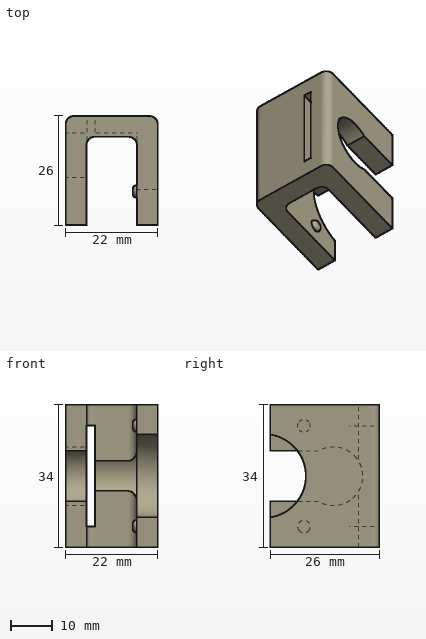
import cadquery as cq

width = 22.0
depth = 26.0
height = 34.0
wall = 5.0
corner_radius = 2.0

bore_radius = 7.0
bore_from_front = 15.0
entry_height = 12.0

recess_radius = 10.0
recess_center_ahead = 1.5

window_width = corner_radius
window_height = 24.0

bump_radius = 1.5
bump_height = 1.0
bump_rounding = 0.9
bump_from_front = 8.0
bump_spacing = 24.0

y_front = -depth / 2
left_outside = -width / 2
left_inside = left_outside + wall
right_inside = width / 2 - wall
inner_width = right_inside - left_inside
inner_depth = depth - wall


def box(x, y, z, x_size, y_size, z_size):
    """Box with its low X and low Y corner at (x, y), centered on z."""
    return (
        cq.Workplane("XY")
        .box(x_size, y_size, z_size, centered=(False, False, True))
        .translate((x, y, z))
    )


def x_cylinder(x, y, z, radius, length):
    """Cylinder running along +X from the given end center."""
    return cq.Workplane("YZ", origin=(x, y, z)).circle(radius).extrude(length)


def channel():
    """U-shaped body with rounded back corners inside and out."""
    outer = box(left_outside, y_front, 0, width, depth, height)
    inner = box(left_inside, y_front, 0, inner_width, inner_depth, height)
    outer = outer.edges("|Z and >Y").fillet(corner_radius)
    inner = inner.edges("|Z and >Y").fillet(corner_radius)
    return outer.cut(inner)


def keyhole():
    """Bore through the left wall that also grooves the back wall, with its open entry."""
    bore = x_cylinder(left_outside, y_front + bore_from_front, 0, bore_radius, wall + inner_width)
    entry = box(left_outside, y_front, 0, wall, bore_from_front, entry_height)
    return bore.union(entry)


def recess():
    """Circular bite out of the front of the right wall."""
    return x_cylinder(right_inside, y_front - recess_center_ahead, 0, recess_radius, wall)


def back_window():
    """Tall narrow opening through the back wall, beside the left wall."""
    return box(left_inside, y_front + inner_depth - corner_radius, 0,
               window_width, wall + corner_radius, window_height)


def bump(z):
    """Round-edged button on the inside of the right wall, rooted in the wall."""
    root = wall / 2
    button = x_cylinder(right_inside - bump_height, y_front + bump_from_front, z,
                        bump_radius, bump_height + root)
    return button.faces("<X").edges().fillet(bump_rounding)


result = channel().cut(keyhole()).cut(recess()).cut(back_window())
for side in (-1, 1):
    result = result.union(bump(side * bump_spacing / 2))